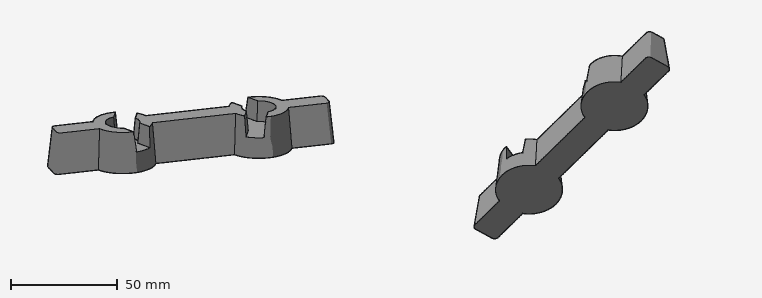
import cadquery as cq
import math

length = 137.5
bar_width = 13.6
height = 20.0
draft_angle = 5.0
end_corner_radius = 2.0

boss_radius = 15.7
boss_offset = 33.4
floor_height = height / 2
recess_floor_radius = 7.2
groove_floor_width = 8.4
groove_angle = 25.0
groove_reach = 2 * boss_radius


def make_bar():
    bar = cq.Workplane("XY").rect(bar_width, length).extrude(height, taper=draft_angle)
    return bar.edges("not #Z").fillet(end_corner_radius)


def make_boss():
    return cq.Workplane("XY").circle(boss_radius).extrude(height, taper=draft_angle)


def make_recess():
    """Round pocket crossed by a chevron groove whose arms slope towards -Y."""
    floor = cq.Workplane("XY").workplane(offset=floor_height)
    depth = height - floor_height
    pocket = floor.circle(recess_floor_radius).extrude(depth, taper=-draft_angle)

    angle = math.radians(groove_angle)
    apex = groove_floor_width / 2 / math.cos(angle)
    drop = groove_reach * math.tan(angle)
    chevron = [
        (0, apex),
        (groove_reach, apex - drop),
        (groove_reach, -apex - drop),
        (0, -apex),
        (-groove_reach, -apex - drop),
        (-groove_reach, apex - drop),
    ]
    groove = floor.polyline(chevron).close().extrude(depth, taper=-draft_angle)
    boss_envelope = cq.Workplane("XY").circle(boss_radius).extrude(height)
    return pocket.union(groove.intersect(boss_envelope))


boss = make_boss()
recess = make_recess()
result = make_bar()

for turn in (0, 180):
    place = cq.Location(cq.Vector(0, 0, 0), cq.Vector(0, 0, 1), turn) * cq.Location(
        cq.Vector(0, boss_offset, 0)
    )
    result = result.union(cq.Workplane(boss.val().moved(place)))
    result = result.cut(cq.Workplane(recess.val().moved(place)))